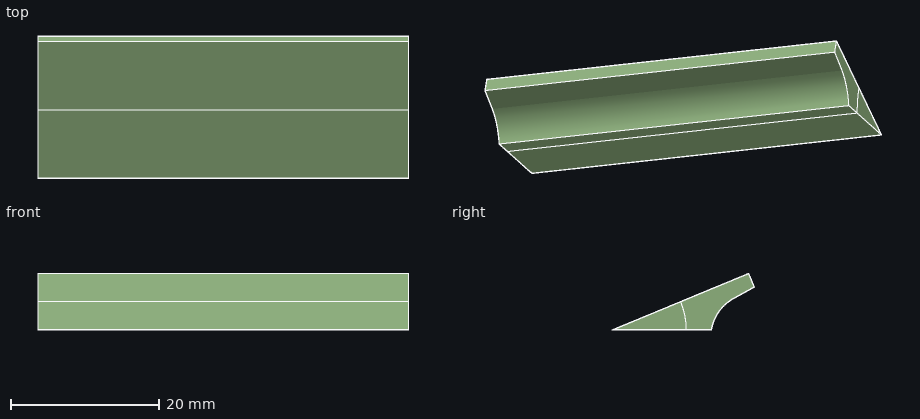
import cadquery as cq
import math

length = 50.0
slope_angle = 22.5
slope_length = 19.95
split_radius = 10.0
rear_thickness = 2.0
base_width = 13.4
hollow_end_y = 16.15
hollow_end_z = 4.1
hollow_mid_y = 14.4
hollow_mid_z = 2.45


def polar(radius, angle):
    """Point (y, z) at a radius and angle in degrees about the sharp edge."""
    turn = math.radians(angle)
    return radius * math.cos(turn), radius * math.sin(turn)


joint_bottom = polar(split_radius, 0)
joint_middle = polar(split_radius, slope_angle / 2)
joint_top = polar(split_radius, slope_angle)
rear_top = polar(slope_length, slope_angle)
rear_drop = polar(rear_thickness, slope_angle - 90)
rear_bottom = (rear_top[0] + rear_drop[0], rear_top[1] + rear_drop[1])


def make_front_wedge():
    """Sharp front body, a circular sector in section."""
    return (
        cq.Workplane("YZ")
        .lineTo(*joint_bottom)
        .threePointArc(joint_middle, joint_top)
        .close()
        .extrude(length)
    )


def make_rear_support():
    """Rear body with a concave underside, seated against the wedge."""
    return (
        cq.Workplane("YZ")
        .moveTo(*joint_bottom)
        .lineTo(base_width, 0)
        .threePointArc((hollow_mid_y, hollow_mid_z), (hollow_end_y, hollow_end_z))
        .lineTo(*rear_bottom)
        .lineTo(*rear_top)
        .lineTo(*joint_top)
        .threePointArc(joint_middle, joint_bottom)
        .close()
        .extrude(length)
    )


front_wedge = make_front_wedge()
rear_support = make_rear_support()

result = cq.Compound.makeCompound([front_wedge.val(), rear_support.val()])